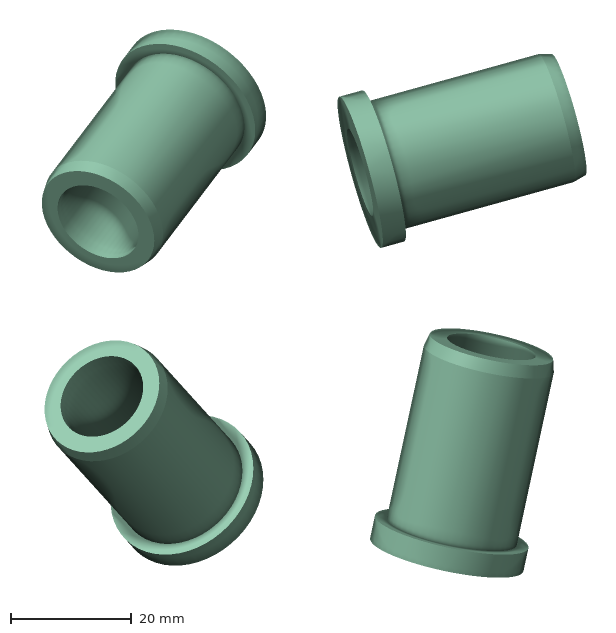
import cadquery as cq

length = 36.0
flange_diameter = 26.0
flange_thickness = 4.0
body_diameter = 22.0
bore_diameter = 15.0

taper_length = 2.12
tip_diameter = 20.88

flange_radius = flange_diameter / 2
body_radius = body_diameter / 2
bore_radius = bore_diameter / 2
tip_radius = tip_diameter / 2
flange_face = length - flange_thickness

half_section = (
    cq.Workplane("XY")
    .moveTo(bore_radius, 0)
    .lineTo(tip_radius, 0)
    .lineTo(body_radius, taper_length)
    .lineTo(body_radius, flange_face)
    .lineTo(flange_radius, flange_face)
    .lineTo(flange_radius, length)
    .lineTo(bore_radius, length)
    .close()
)

result = half_section.revolve(360, (0, 0, 0), (0, 1, 0))